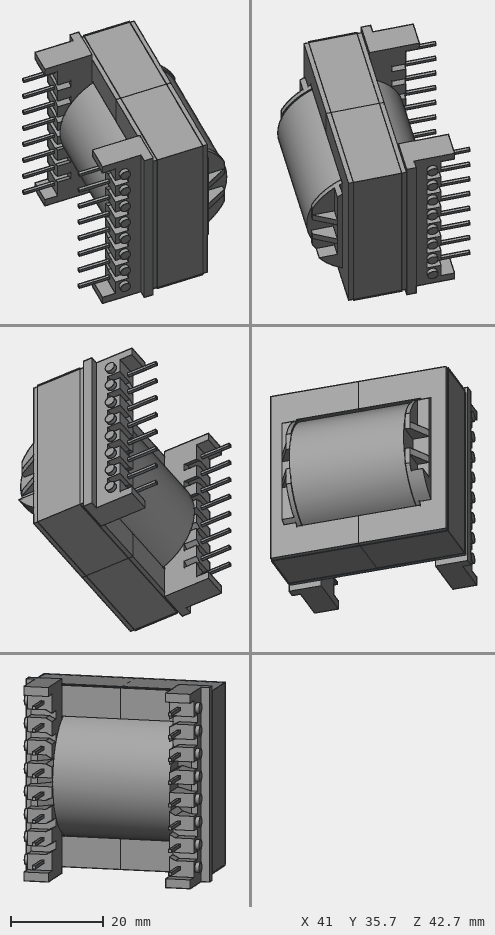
import cadquery as cq
import math

WINDING_RADIUS = 14.0
WINDING_HALF_LENGTH = 13.1

CORE_LENGTH = 40.22
CORE_HEIGHT = 39.85
CORE_DEPTH = 12.85
POST_RADIUS = 6.4
WINDOW_RADIUS = 14.65
TAPE_WIDTH = 10.75
TAPE_THICKNESS = 0.15

WALL = 1.05
FLANGE_RADIUS = 14.35
FLANGE_BACK = 13.0

LEDGE_REACH = 2.7
LEDGE_FRONT = 6.95
LEDGE_BACK = 8.1
GUSSET_THICKNESS = 1.62
GUSSET_SPACING = 6.4
END_BLOCK_TOP = -7.6

RAIL_LENGTH = 42.7
RAIL_OUTER_X = 18.6
RAIL_FRONT = -14.5
LIP_OUTER_X = 20.5
LIP_FRONT = -8.55
FOOT_FRONT = -17.55
FOOT_HEIGHT = 1.95

PIN_COUNT = 8
PIN_PITCH = 5.0
PIN_SIZE = 0.7
PIN_X = 15.25
PIN_TIP = -21.7
STUD_RADIUS = 1.15
STUD_LENGTH = 0.95
STUD_Y = -12.5

SLOT_FLOOR = -11.4
SLOT_BEND_X = 14.5
SLOT_SHIFT = 0.73
SLOT_WIDTH = 1.8
WIDE_SLOT_WIDTH = 1.95
WIDE_SLOT_REACH = 1
RAMP_START_X = 17.2
RAMP_ANGLE = 45.0

TUBE_RADIUS = POST_RADIUS + WALL
FLANGE_OUTER_X = WINDING_HALF_LENGTH + WALL
LEDGE_OUTER_X = FLANGE_OUTER_X + LEDGE_REACH
CORE_FRONT = -CORE_DEPTH / 2
PIN_HEIGHTS = [(i - (PIN_COUNT - 1) / 2) * PIN_PITCH for i in range(PIN_COUNT)]
SLOT_STEPS = range(1 - PIN_COUNT // 2, PIN_COUNT // 2)
SIDES = (-1, 1)


def box(x_range, y_range, z_range):
    """Box between two limits, in any order, along each axis."""
    spans = [(min(r), max(r)) for r in (x_range, y_range, z_range)]
    size = [high - low for low, high in spans]
    corner = [low for low, high in spans]
    return cq.Workplane("XY").box(*size, centered=False).translate(tuple(corner))


def cylinder_x(radius, x_start, x_end):
    """Cylinder around the X axis."""
    low = min(x_start, x_end)
    return cq.Workplane("YZ", origin=(low, 0, 0)).circle(radius).extrude(abs(x_end - x_start))


def make_winding():
    outside = cylinder_x(WINDING_RADIUS, -WINDING_HALF_LENGTH, WINDING_HALF_LENGTH)
    return outside.cut(cylinder_x(TUBE_RADIUS, -WINDING_HALF_LENGTH, WINDING_HALF_LENGTH))


def make_core_half(side):
    half_depth = CORE_DEPTH / 2
    half_height = CORE_HEIGHT / 2
    block = box((0, side * CORE_LENGTH / 2), (-half_depth, half_depth), (-half_height, half_height))
    window = cylinder_x(WINDOW_RADIUS, 0, side * FLANGE_OUTER_X)
    post = cylinder_x(POST_RADIUS, 0, side * FLANGE_OUTER_X)
    return block.cut(window.cut(post))


def make_tape():
    thickness = 2 * TAPE_THICKNESS
    wrap = cq.Workplane("XY").box(CORE_LENGTH + thickness, TAPE_WIDTH, CORE_HEIGHT + thickness)
    return wrap.cut(cq.Workplane("XY").box(CORE_LENGTH, TAPE_WIDTH, CORE_HEIGHT))


def make_flange(side):
    """Disc with a flat and a wire notch at its back."""
    disc = cylinder_x(FLANGE_RADIUS, side * WINDING_HALF_LENGTH, side * FLANGE_OUTER_X)
    behind_flat = box((side * WINDING_HALF_LENGTH, side * FLANGE_OUTER_X),
                      (FLANGE_BACK, FLANGE_RADIUS), (-FLANGE_RADIUS, FLANGE_RADIUS))
    notch_half = (GUSSET_SPACING - GUSSET_THICKNESS) / 2
    notch = box((side * WINDING_HALF_LENGTH, side * FLANGE_OUTER_X),
                (LEDGE_BACK, FLANGE_RADIUS), (-notch_half, notch_half))
    return disc.cut(behind_flat).cut(notch)


def make_ledge(side):
    """Back ledge with two gussets; the -X ledge also has a full-depth block at its lower end."""
    x_range = (side * FLANGE_OUTER_X, side * LEDGE_OUTER_X)
    segment = cylinder_x(FLANGE_RADIUS, *x_range)
    blank = box(x_range, (LEDGE_FRONT, LEDGE_BACK), (-FLANGE_RADIUS, FLANGE_RADIUS))
    if side < 0:
        blank = blank.union(box(x_range, (LEDGE_FRONT, FLANGE_RADIUS), (-FLANGE_RADIUS, END_BLOCK_TOP)))
    ledge = segment.intersect(blank)
    for gusset_side in SIDES:
        gusset = (
            cq.Workplane("XY", origin=(0, 0, gusset_side * GUSSET_SPACING / 2))
            .moveTo(side * FLANGE_OUTER_X, LEDGE_BACK)
            .lineTo(side * LEDGE_OUTER_X, LEDGE_BACK)
            .lineTo(side * FLANGE_OUTER_X, FLANGE_BACK)
            .close()
            .extrude(GUSSET_THICKNESS / 2, both=True)
        )
        ledge = ledge.union(gusset)
    return ledge


def make_slot(side, step):
    """Wire slot between two pins, open at the front and at both sides of the rail."""
    center = step * PIN_PITCH
    is_wide = abs(step) <= WIDE_SLOT_REACH
    outer_half = (WIDE_SLOT_WIDTH if is_wide else SLOT_WIDTH) / 2
    inner_half = (WIDE_SLOT_WIDTH if step == 0 else SLOT_WIDTH) / 2
    direction = (step > 0) - (step < 0)
    inner_center = center - direction * SLOT_SHIFT
    outline = [
        (side * RAIL_OUTER_X, center - outer_half),
        (side * SLOT_BEND_X, center - outer_half),
        (side * WINDING_HALF_LENGTH, inner_center - inner_half),
        (side * WINDING_HALF_LENGTH, inner_center + inner_half),
        (side * SLOT_BEND_X, center + outer_half),
        (side * RAIL_OUTER_X, center + outer_half),
    ]
    ramp_drop = (RAMP_START_X - WINDING_HALF_LENGTH) * math.tan(math.radians(RAMP_ANGLE))
    ramp_end = SLOT_FLOOR + ramp_drop
    bottom = ramp_end if is_wide else SLOT_FLOOR
    slot = (
        cq.Workplane("XZ", origin=(0, bottom, 0))
        .polyline(outline).close()
        .extrude(bottom - RAIL_FRONT)
    )
    if not is_wide:
        return slot
    profile = (
        cq.Workplane("XY", origin=(0, 0, center))
        .polyline([
            (side * RAIL_OUTER_X, RAIL_FRONT),
            (side * RAIL_OUTER_X, SLOT_FLOOR),
            (side * RAMP_START_X, SLOT_FLOOR),
            (side * WINDING_HALF_LENGTH, ramp_end),
            (side * WINDING_HALF_LENGTH, RAIL_FRONT),
        ])
        .close()
        .extrude(PIN_PITCH / 2, both=True)
    )
    return slot.intersect(profile)


def make_rail(side):
    """Terminal rail with lip, end feet, studs and pins."""
    x_range = (side * WINDING_HALF_LENGTH, side * RAIL_OUTER_X)
    half_length = RAIL_LENGTH / 2
    z_range = (-half_length, half_length)
    rail = box(x_range, (CORE_FRONT, RAIL_FRONT), z_range)
    rail = rail.union(box((side * WINDING_HALF_LENGTH, side * LIP_OUTER_X), (CORE_FRONT, LIP_FRONT), z_range))
    for end in SIDES:
        foot_z = (end * (half_length - FOOT_HEIGHT), end * half_length)
        rail = rail.union(box(x_range, (CORE_FRONT, FOOT_FRONT), foot_z))
    for height in PIN_HEIGHTS:
        stud = cylinder_x(STUD_RADIUS, side * RAIL_OUTER_X, side * (RAIL_OUTER_X + STUD_LENGTH))
        rail = rail.union(stud.translate((0, STUD_Y, height)))
        pin = (
            cq.Workplane("XZ", origin=(side * PIN_X, RAIL_FRONT, height))
            .rect(PIN_SIZE, PIN_SIZE)
            .extrude(RAIL_FRONT - PIN_TIP)
        )
        rail = rail.union(pin)
    return rail


def make_bobbin():
    bobbin = cylinder_x(TUBE_RADIUS, -FLANGE_OUTER_X, FLANGE_OUTER_X)
    for side in SIDES:
        bobbin = bobbin.union(make_flange(side)).union(make_ledge(side)).union(make_rail(side))
        for step in SLOT_STEPS:
            bobbin = bobbin.cut(make_slot(side, step))
    return bobbin.cut(cylinder_x(POST_RADIUS, -FLANGE_OUTER_X, FLANGE_OUTER_X))


winding = make_winding()
core_halves = [make_core_half(side) for side in SIDES]
tape = make_tape()
bobbin = make_bobbin()

result = cq.Compound.makeCompound([
    winding.val(),
    *[half.val() for half in core_halves],
    tape.val(),
    bobbin.val(),
])